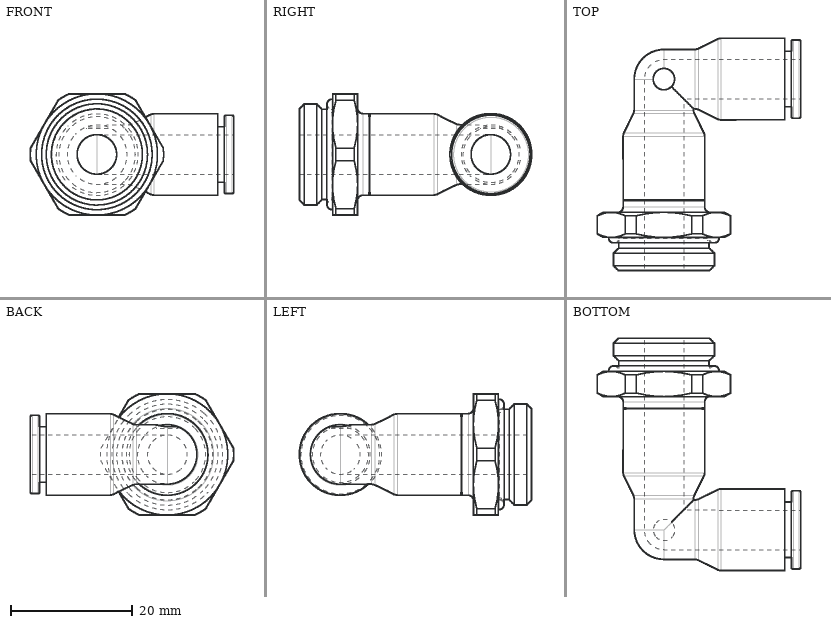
import cadquery as cq
import math


elbow_radius = 4.9
body_radius = 6.75
cone_start = 5.4
cone_end = 9.13
body_end = 19.95
cone_blend = 1.23

collar_neck_radius = 4.6
collar_flange_radius = 6.5
collar_flange_start = 21.0
collar_end = 22.6
collar_fillet = 0.3

seam_width = 0.1
seam_radius = 6.3
shank_cove = 0.9

hex_start = 21.97
hex_end = 26.1
hex_across_flats = 20.0
hex_corner_radius = 11.0
hex_chamfer_angle = 30

ring_radius = 9.13
ring_end = 27.05

thread_neck_radius = 7.48
thread_radius = 8.35
thread_chamfer = 0.85
thread_start = 27.88
thread_end = 31.6

bore_radius = 3.25
recess_radius = 1.75
recess_floor = 4.3


def turned(points):
    """Revolve an (X, radius) outline, closed along the axis, about X."""
    return cq.Workplane("XY").polyline(points).close().revolve(360, (0, 0, 0), (1, 0, 0))


def cylinder(start, end, radius):
    return cq.Workplane("YZ").workplane(offset=start).circle(radius).extrude(end - start)


def to_threaded_arm(shape):
    """Swing a shape built along +X onto -Y."""
    return shape.rotate((0, 0, 0), (0, 0, 1), -90)


def body_arm():
    """Slim cylinder widening through a softened cone to the full body."""
    arm = turned([
        (0, 0),
        (0, elbow_radius),
        (cone_start, elbow_radius),
        (cone_end, body_radius),
        (body_end, body_radius),
        (body_end, 0),
    ])
    cone_rims = cq.selectors.BoxSelector(
        (cone_start - 0.4, -body_radius - 0.4, -body_radius - 0.4),
        (cone_end + 0.4, body_radius + 0.4, body_radius + 0.4),
        boundingbox=True,
    )
    return arm.edges(cone_rims).edges("%CIRCLE").fillet(cone_blend)


def release_collar():
    neck = cylinder(body_end, collar_flange_start, collar_neck_radius)
    flange = cylinder(collar_flange_start, collar_end, collar_flange_radius)
    return neck.union(flange.edges("%CIRCLE").fillet(collar_fillet))


def shank():
    """Narrow seam groove, then a plain band flaring in a cove to the hexagon."""
    seam_end = body_end + seam_width
    cove_start = hex_start - shank_cove
    seam = cylinder(body_end, seam_end, seam_radius)
    cove_middle = shank_cove * math.sqrt(0.5)
    band = (
        cq.Workplane("XY")
        .moveTo(seam_end, 0)
        .lineTo(seam_end, body_radius)
        .lineTo(cove_start, body_radius)
        .threePointArc(
            (cove_start + cove_middle, body_radius + shank_cove - cove_middle),
            (hex_start, body_radius + shank_cove),
        )
        .lineTo(hex_start, 0)
        .close()
        .revolve(360, (0, 0, 0), (1, 0, 0))
    )
    return seam.union(band)


def hexagon():
    """Hexagon with flats facing +Z and -Z, trimmed to a chamfered round blank."""
    corner_diameter = hex_across_flats / math.cos(math.pi / 6)
    flat_radius = hex_across_flats / 2
    chamfer = (hex_corner_radius - flat_radius) * math.tan(math.radians(hex_chamfer_angle))
    prism = (
        cq.Workplane("YZ")
        .workplane(offset=hex_start)
        .polygon(6, corner_diameter)
        .extrude(hex_end - hex_start)
    )
    blank = turned([
        (hex_start, 0),
        (hex_start, flat_radius),
        (hex_start + chamfer, hex_corner_radius),
        (hex_end - chamfer, hex_corner_radius),
        (hex_end, flat_radius),
        (hex_end, 0),
    ])
    return prism.intersect(blank)


def sealing_ring():
    """Round-section ring hugging the thread neck, partly sunk into the hexagon."""
    section_radius = (ring_radius - thread_neck_radius) / 2
    center = cq.Vector(ring_end - section_radius, 0, 0)
    ring = cq.Solid.makeTorus(ring_radius - section_radius, section_radius, center, cq.Vector(1, 0, 0))
    return cq.Workplane(obj=ring)


def threaded_end():
    """Undercut neck and the chamfered thread envelope."""
    return turned([
        (hex_end, 0),
        (hex_end, thread_neck_radius),
        (thread_start, thread_neck_radius),
        (thread_start + thread_chamfer, thread_radius),
        (thread_end - thread_chamfer, thread_radius),
        (thread_end, thread_radius - thread_chamfer),
        (thread_end, 0),
    ])


def bore():
    """Passage through both arms, rounded at the elbow."""
    tube_bore = cylinder(0, collar_end, bore_radius)
    thread_bore = to_threaded_arm(cylinder(0, thread_end, bore_radius))
    return cq.Workplane("XY").sphere(bore_radius).union(tube_bore).union(thread_bore)


def marking_recess():
    """Flat-floored round recess on top of the elbow."""
    depth = elbow_radius - recess_floor
    return cq.Workplane("XY").workplane(offset=recess_floor).circle(recess_radius).extrude(2 * depth)


tube_arm = body_arm().union(release_collar())

threaded_arm = body_arm()
for section in (shank(), hexagon(), sealing_ring(), threaded_end()):
    threaded_arm = threaded_arm.union(section)

result = cq.Workplane("XY").sphere(elbow_radius)
result = result.union(tube_arm).union(to_threaded_arm(threaded_arm))
result = result.cut(bore()).cut(marking_recess())